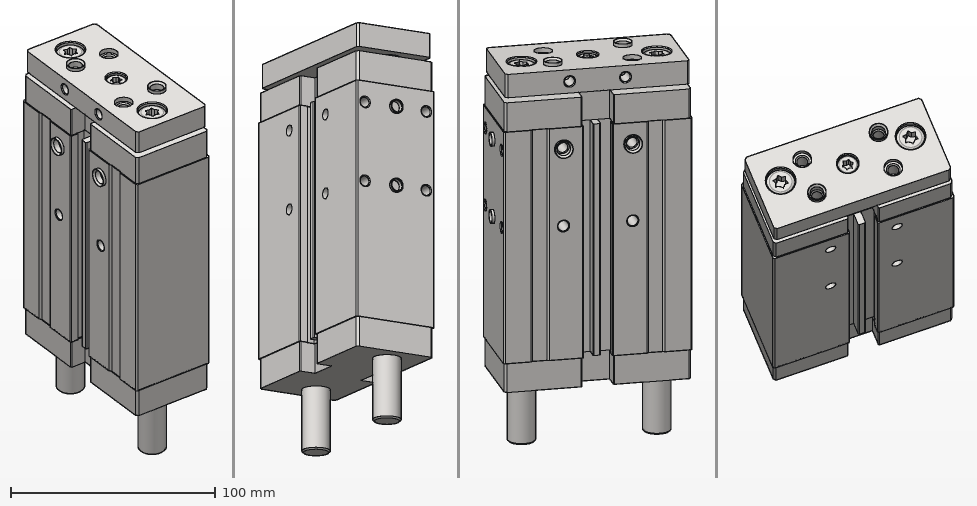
import cadquery as cq
import math

rod_overhang = 31.8
cover_height = 15.0
housing_height = 119.7
plate_gap = 2.4
plate_height = 12.0
overall_height = 197.8
lower_cover_z = rod_overhang
housing_z = lower_cover_z + cover_height
housing_top = housing_z + housing_height
cover_top = housing_top + cover_height
plate_z = cover_top + plate_gap
plate_top = plate_z + plate_height

housing_half_width = 47.5
housing_half_depth = 22.2
cover_half_width = 46.9
cover_half_depth = 21.5
housing_groove_half = 7.3
lip_depth = 4.4
undercut_half = 8.7
cover_groove_half = 8.0
groove_floor = 13.0
rib_half = 1.88
rib_face = 19.5
panel_groove_inner = 24.5
panel_groove_outer = 33.6
panel_groove_depth = 1.0
housing_edge_chamfer = 0.8
groove_chamfer = 0.5
corner_chamfer = 1.2

plate_half_width = 46.3
plate_half_depth = 21.0
rod_diameter = 14.0
rod_x = 34.0
rod_y = -3.0
rod_tip_chamfer = 0.8
piston_rod_diameter = 10.0
guide_counterbore = 15.0
guide_head_diameter = 14.0
guide_head_flat = 11.0
guide_socket = 7.3
piston_counterbore = 11.0
piston_head_diameter = 10.0
piston_head_flat = 8.7
piston_socket = 5.7
screw_recess = 1.2
socket_depth = 5.0
socket_valley_ratio = 0.7
socket_points = 6
plate_hole_x = 20.0
plate_hole_y = 10.0
plate_front_hole_x = 14.0
plate_front_hole_depth = 9.9

thread_diameter = 5.3
thread_rim = 6.1
plate_thread_rim = 6.7
side_hole_diameter = 5.0
side_hole_rim = 6.0
side_hole_depth = 8.0
drill_tip_angle = 118.0
sleeve_diameter = 9.0
sleeve_bore = 6.7
sleeve_seat_depth = 2.4
sleeve_countersink = 1.0
plate_sleeve_rise = overall_height - plate_top
front_sleeve_rise = 1.5
hole_offset = 17.5
hole_row_spacing = 40.0
upper_row_inset = 10.7
upper_row_z = housing_top - upper_row_inset
lower_row_z = upper_row_z - hole_row_spacing
hole_rows = (upper_row_z, lower_row_z)
plug_diameter = 7.0
plug_bore = 6.0
plug_rise = 1.4
plug_seat_depth = 4.0
plug_bore_depth = 3.0


def rod(start, direction, diameter, length):
    """A solid cylinder from a start point along a direction."""
    cylinder = cq.Solid.makeCylinder(diameter / 2, length, cq.Vector(*start), cq.Vector(*direction))
    return cq.Workplane(cylinder)


def box_between(low, high):
    """A box given by two opposite corners."""
    size = [high[i] - low[i] for i in range(3)]
    return cq.Workplane().box(*size, centered=False).translate(low)


def rimmed_hole(start, direction, diameter, rim, depth, blind):
    """Cutter for a straight hole with a 45 degree rim and, when blind, a conical drill tip."""
    radius = diameter / 2
    countersink = (rim - diameter) / 2
    profile = cq.Workplane("XY").moveTo(0, 0).lineTo(rim / 2, 0).lineTo(radius, countersink)
    profile = profile.lineTo(radius, depth)
    tip = radius / math.tan(math.radians(drill_tip_angle / 2)) if blind else 0
    cutter = profile.lineTo(0, depth + tip).close().revolve(360, (0, 0, 0), (0, 1, 0))
    axis = cq.Vector(*direction)
    side = cq.Vector(0, 0, 1) if abs(axis.z) < 0.5 else cq.Vector(1, 0, 0)
    plane = cq.Plane(origin=start, xDir=side, normal=side.cross(axis))
    return cq.Workplane(cutter.val().moved(cq.Location(plane)))


def rod_bores():
    """Space taken by the two guide rods and the piston rod."""
    bores = rod((0, 0, housing_z), (0, 0, 1), piston_rod_diameter, cover_top - housing_z)
    for x in (-rod_x, rod_x):
        bores = bores.add(rod((x, rod_y, 0), (0, 0, 1), rod_diameter, plate_z))
    return bores


def cut_all(body, cutters):
    """The body with every cutter taken away in turn."""
    for cutter in cutters.vals():
        body = body.cut(cq.Workplane(cutter))
    return body


def housing_block():
    """Block with chamfered upright edges."""
    block = box_between(
        (-housing_half_width, -housing_half_depth, housing_z),
        (housing_half_width, housing_half_depth, housing_top),
    )
    return block.edges("|Z").chamfer(housing_edge_chamfer)


def central_groove(side):
    """Full-height undercut slot with a rib in its middle, in the front (-1) or back (+1) face."""
    face_y = side * housing_half_depth
    corner_y = face_y - side * groove_chamfer
    lip_y = side * (housing_half_depth - lip_depth)
    floor_y = side * groove_floor
    rib_y = side * rib_face
    half_outline = [
        (housing_groove_half + groove_chamfer, face_y),
        (housing_groove_half, corner_y),
        (housing_groove_half, lip_y),
        (undercut_half, lip_y),
        (undercut_half, floor_y),
        (rib_half, floor_y),
        (rib_half, rib_y - side * groove_chamfer),
        (rib_half - groove_chamfer, rib_y),
    ]
    mirrored = [(-x, y) for x, y in reversed(half_outline)]
    groove = cq.Workplane("XY", origin=(0, 0, housing_z)).polyline(half_outline + mirrored).close()
    return groove.extrude(housing_height)


def panel_groove(side):
    """Shallow front groove with 45 degree walls, on the left (-1) or right (+1)."""
    floor_y = panel_groove_depth - housing_half_depth
    outline = [
        (side * panel_groove_inner, -housing_half_depth),
        (side * (panel_groove_inner + panel_groove_depth), floor_y),
        (side * (panel_groove_outer - panel_groove_depth), floor_y),
        (side * panel_groove_outer, -housing_half_depth),
    ]
    return cq.Workplane("XY", origin=(0, 0, housing_z)).polyline(outline).close().extrude(housing_height)


def make_housing():
    body = housing_block()
    for side in (-1, 1):
        body = body.cut(central_groove(side))
        body = body.cut(panel_groove(side))
    body = cut_all(body, rod_bores())
    depth = 2 * housing_half_depth
    for z in hole_rows:
        for x in (-hole_offset, hole_offset):
            start = (x, -housing_half_depth, z)
            body = body.cut(rimmed_hole(start, (0, 1, 0), thread_diameter, thread_rim, depth, False))
        for y in (-hole_offset, hole_offset):
            start = (-housing_half_width, y, z)
            body = body.cut(
                rimmed_hole(start, (1, 0, 0), side_hole_diameter, side_hole_rim, side_hole_depth, True)
            )
        body = body.cut(rod((-housing_half_width, 0, z), (1, 0, 0), plug_diameter, plug_seat_depth))
    for x in (-hole_offset, hole_offset):
        start = (x, -housing_half_depth, upper_row_z)
        body = body.cut(rod(start, (0, 1, 0), sleeve_diameter, sleeve_seat_depth))
    return body


def make_cover(base_z):
    body = box_between(
        (-cover_half_width, -cover_half_depth, base_z),
        (cover_half_width, cover_half_depth, base_z + cover_height),
    )
    body = body.edges("|Z").chamfer(corner_chamfer)
    for side in (-1, 1):
        face_y = side * cover_half_depth
        half_outline = [
            (cover_groove_half + groove_chamfer, face_y),
            (cover_groove_half, face_y - side * groove_chamfer),
            (cover_groove_half, side * groove_floor),
        ]
        mirrored = [(-x, y) for x, y in reversed(half_outline)]
        groove = cq.Workplane("XY", origin=(0, 0, base_z)).polyline(half_outline + mirrored).close()
        body = body.cut(groove.extrude(cover_height))
    return cut_all(body, rod_bores())


def star_socket(x, y, top_z, tip_diameter, first_angle):
    """Six-pointed screw socket."""
    tip_radius = tip_diameter / 2
    valley_radius = tip_radius * socket_valley_ratio
    points = []
    for i in range(2 * socket_points):
        radius = valley_radius if i % 2 else tip_radius
        angle = math.radians(first_angle + 180 / socket_points * i)
        points.append((x + radius * math.cos(angle), y + radius * math.sin(angle)))
    return cq.Workplane("XY", origin=(0, 0, top_z)).polyline(points).close().extrude(-socket_depth)


def screw_pocket(x, y, counterbore, head_diameter, head_flat, socket, first_angle):
    """Cutter that leaves a domed screw head with a star socket at the bottom of a chamfered counterbore."""
    head_z = plate_top - screw_recess
    rim = counterbore / 2
    outer = head_diameter / 2
    flat = head_flat / 2
    drop = outer - flat
    diagonal = drop * math.sqrt(0.5)
    pocket = (
        cq.Workplane("XZ")
        .moveTo(0, plate_top)
        .lineTo(rim, plate_top)
        .lineTo(outer, plate_top - (rim - outer))
        .lineTo(outer, head_z - drop)
        .threePointArc((flat + diagonal, head_z - drop + diagonal), (flat, head_z))
        .lineTo(0, head_z)
        .close()
        .revolve(360, (0, 0, 0), (0, 1, 0))
        .translate((x, y, 0))
    )
    return pocket.union(star_socket(x, y, head_z, socket, first_angle))


def make_moving_unit():
    body = box_between(
        (-plate_half_width, -plate_half_depth, plate_z),
        (plate_half_width, plate_half_depth, plate_top),
    )
    body = body.edges("|Z").chamfer(corner_chamfer)
    for x in (-plate_hole_x, plate_hole_x):
        for y in (-plate_hole_y, plate_hole_y):
            seat_start = (x, y, plate_top - sleeve_seat_depth)
            depth = plate_height - sleeve_seat_depth
            tapped_hole = rimmed_hole(
                seat_start, (0, 0, -1), thread_diameter, plate_thread_rim, depth, False
            )
            body = body.cut(tapped_hole)
            body = body.cut(rod(seat_start, (0, 0, 1), sleeve_diameter, sleeve_seat_depth))
    for x in (-plate_front_hole_x, plate_front_hole_x):
        start = (x, -plate_half_depth, plate_z + plate_height / 2)
        body = body.cut(
            rimmed_hole(start, (0, 1, 0), side_hole_diameter, side_hole_rim, plate_front_hole_depth, True)
        )
    body = body.cut(
        screw_pocket(0, 0, piston_counterbore, piston_head_diameter, piston_head_flat, piston_socket, 0)
    )
    for x in (-rod_x, rod_x):
        body = body.cut(
            screw_pocket(
                x, rod_y, guide_counterbore, guide_head_diameter, guide_head_flat, guide_socket, 90
            )
        )
    body = body.union(rod((0, 0, housing_z), (0, 0, 1), piston_rod_diameter, plate_z - housing_z))
    for x in (-rod_x, rod_x):
        guide = rod((x, rod_y, 0), (0, 0, 1), rod_diameter, plate_z)
        body = body.union(guide.faces("<Z").chamfer(rod_tip_chamfer))
    return body


def make_sleeve(face_point, outward, rise):
    """Ring seated in a face and rising out of it."""
    axis = cq.Vector(*outward)
    start = cq.Vector(*face_point) - axis * sleeve_seat_depth
    plane = cq.Plane(origin=start.toTuple(), normal=outward)
    ring = cq.Workplane(plane).circle(sleeve_diameter / 2).extrude(sleeve_seat_depth + rise)
    rim = start + axis * (sleeve_seat_depth + rise)
    bore = rimmed_hole(
        rim.toTuple(),
        (-axis).toTuple(),
        sleeve_bore,
        sleeve_bore + 2 * sleeve_countersink,
        sleeve_seat_depth + rise,
        False,
    )
    return ring.cut(bore)


def make_plug(z):
    """Cup-shaped plug in the left side of the housing."""
    tip = (-housing_half_width - plug_rise, 0, z)
    body = rod(tip, (1, 0, 0), plug_diameter, plug_rise + plug_seat_depth)
    return body.cut(rod(tip, (1, 0, 0), plug_bore, plug_bore_depth))


housing = make_housing()
covers = [make_cover(z) for z in (lower_cover_z, housing_top)]
moving_unit = make_moving_unit()

plate_sleeves = [
    make_sleeve((side * plate_hole_x, side * plate_hole_y, plate_top), (0, 0, 1), plate_sleeve_rise)
    for side in (-1, 1)
]
front_sleeves = [
    make_sleeve((side * hole_offset, -housing_half_depth, upper_row_z), (0, -1, 0), front_sleeve_rise)
    for side in (-1, 1)
]
plugs = [make_plug(z) for z in hole_rows]

bodies = [housing, *covers, moving_unit, *plate_sleeves, *front_sleeves, *plugs]
result = cq.Compound.makeCompound([body.val() for body in bodies])